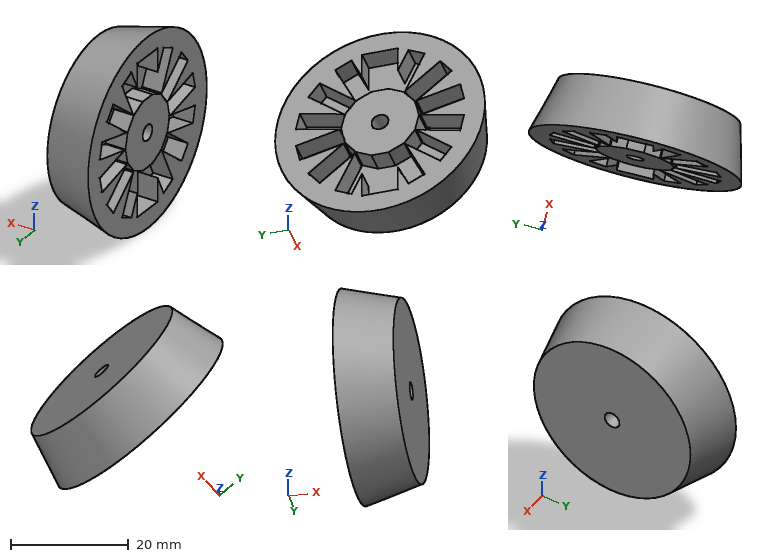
import cadquery as cq
import math

wheel_thickness = 10.0
wide_face_diameter = 37.38
taper_angle = 15.0
bore_diameter = 3.0

slot_count = 14
slot_depth = 4.0
slot_width = 3.2
slot_inner_radius = 6.75
slot_outer_radius = 15.0

wide_slot_width = 2 * slot_width
wide_slot_angles = (0, 180)

wide_face_radius = wide_face_diameter / 2
narrow_face_radius = wide_face_radius - wheel_thickness * math.tan(math.radians(taper_angle))


def make_wheel_body():
    """Revolve the tapered half section around the X axis."""
    return (
        cq.Workplane("XY")
        .polyline([
            (0, 0),
            (0, wide_face_radius),
            (wheel_thickness, narrow_face_radius),
            (wheel_thickness, 0),
        ])
        .close()
        .revolve(360, (0, 0, 0), (1, 0, 0))
    )


def make_bore():
    """Cylinder along the axis, through the full thickness."""
    return cq.Workplane("YZ").circle(bore_diameter / 2).extrude(wheel_thickness)


def make_slot(width, angle):
    """Rectangular slot cutter, turned about the X axis from the +Z direction."""
    slot_length = slot_outer_radius - slot_inner_radius
    return (
        cq.Workplane("XY")
        .box(slot_depth, width, slot_length, centered=(False, True, False))
        .translate((0, 0, slot_inner_radius))
        .rotate((0, 0, 0), (1, 0, 0), angle)
    )


result = make_wheel_body().cut(make_bore())

for slot_index in range(slot_count):
    slot_angle = slot_index * 360 / slot_count
    result = result.cut(make_slot(slot_width, slot_angle))

for wide_slot_angle in wide_slot_angles:
    result = result.cut(make_slot(wide_slot_width, wide_slot_angle))